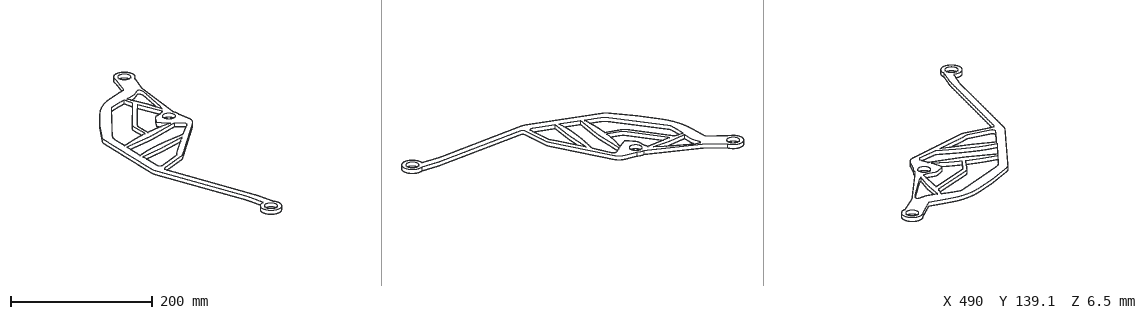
import cadquery as cq
import math

thickness = 6.5
overall_length = 490.0
eye_diameter = 30.5
hole_diameter = 18.0
right_eye_x = overall_length - eye_diameter
middle_hole_x = 139.5
hole_positions = (0, middle_hole_x, right_eye_x)

frame_corners = [
    (0, 14.5, 0),
    (7.5, 12.0, 5),
    (43.5, 6.0, 19.5),
    (131.0, 12.0, 5),
    (167.0, 25.0, 17.0),
    (259.5, -39.0, 14.5),
    (286.5, -83.0, 4.0),
    (421.5, -2.5, 59),
    (446.5, 9.0, 5),
    (right_eye_x, 14.5, 0),
    (right_eye_x, 0, 0),
    (443.0, -6.0, 0),
    (418.0, -16.5, 59),
    (283.5, -97.5, 24.5),
    (162.5, -116.5, 14.5),
    (120.0, -99.5, 49),
    (65.5, -72.0, 88),
    (36.5, -19.0, 2.5),
    (0, -14.5, 0),
]

left_pocket = [
    (45.0, -1.0, 2.5),
    (53.0, 3.0, 10),
    (105.5, 3.0, 29.5),
    (114.0, 1.7, 0),
    (90.5, -10.5, 39),
    (64.5, -28.5, 0),
    (57.5, -13.0, 10),
]

upper_middle_pocket = [
    (122.0, -1.0, 0),
    (87.0, -23.5, 0),
    (148.5, -54.5, 14.5),
    (172.5, -50.0, 0),
    (165.0, -29.0, 98),
    (160.5, -8.0, 0),
    (151.0, -25.0, 2.5),
    (133.5, -18.5, 10),
    (127.5, -7.5, 10),
]

lower_middle_pocket = [
    (65.5, -33.5, 0),
    (79.5, -27.5, 2.5),
    (145.0, -61.0, 14.5),
    (174.0, -55.0, 0),
    (183.5, -76.5, 98),
    (195.5, -98.0, 0),
    (166.5, -103.0, 24.5),
    (79.5, -60.5, 2.0),
    (73.0, -49.0, 39),
]

centre_pocket = [
    (162.5, -3.0, 0),
    (169.5, 11.0, 3.0),
    (175.0, 11.0, 3.0),
    (200.5, -9.0, 1.0),
    (210.0, -42.0, 147),
    (222.0, -73.0, 147),
    (233.0, -92.5, 0),
    (201.5, -97.5, 0),
    (185.5, -51.5, 147),
]

right_pocket = [
    (208.0, -14.0, 0),
    (245.5, -40.5, 10),
    (256.0, -46.5, 10),
    (279.5, -84.5, 4.5),
    (239.0, -91.0, 0),
    (226.5, -55.5, 147),
]


def unit_direction(start, end):
    """Unit vector pointing from one corner to another."""
    dx = end[0] - start[0]
    dy = end[1] - start[1]
    length = math.hypot(dx, dy)
    return dx / length, dy / length


def corner_arc(previous, corner, following):
    """Start, middle and end of the arc that rounds a corner."""
    x, y, radius = corner
    back = unit_direction(corner, previous)
    ahead = unit_direction(corner, following)
    half_angle = math.acos(back[0] * ahead[0] + back[1] * ahead[1]) / 2
    setback = radius / math.tan(half_angle)
    inward = unit_direction((0, 0), (back[0] + ahead[0], back[1] + ahead[1]))
    depth = radius / math.sin(half_angle) - radius
    start = (x + back[0] * setback, y + back[1] * setback)
    middle = (x + inward[0] * depth, y + inward[1] * depth)
    end = (x + ahead[0] * setback, y + ahead[1] * setback)
    return start, middle, end


def rounded_plate(corners):
    """Extrude a closed outline whose corners are rounded by their own radii."""
    count = len(corners)
    first = corners[0]
    first_end = first[:2]
    if first[2] > 0:
        first_end = corner_arc(corners[-1], first, corners[1])[2]
    outline = cq.Workplane("XY").moveTo(*first_end)
    for index in range(1, count + 1):
        corner = corners[index % count]
        if corner[2] == 0:
            if index < count:
                outline = outline.lineTo(*corner[:2])
            continue
        start, middle, end = corner_arc(corners[index - 1], corner, corners[(index + 1) % count])
        outline = outline.lineTo(*start).threePointArc(middle, end)
    return outline.close().extrude(thickness)


def disc(x, diameter):
    """Disc of plate thickness centred on the X axis."""
    return cq.Workplane("XY").center(x, 0).circle(diameter / 2).extrude(thickness)


plate = rounded_plate(frame_corners)
for hole_x in hole_positions:
    plate = plate.union(disc(hole_x, eye_diameter))

for pocket in (left_pocket, upper_middle_pocket, lower_middle_pocket, centre_pocket, right_pocket):
    plate = plate.cut(rounded_plate(pocket))

for hole_x in hole_positions:
    plate = plate.cut(disc(hole_x, hole_diameter))

result = plate